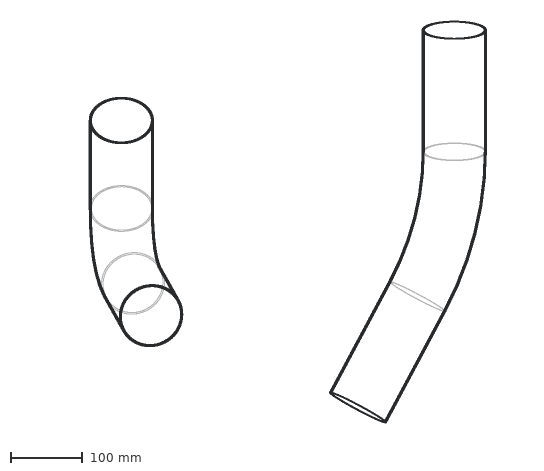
import cadquery as cq
import math

outer_diameter = 89.0
inner_diameter = 84.5

leg_length = 176.5
bend_radius = 410.5
bend_angle = 30.0


def bend_point(angle):
    """Centreline point after turning by angle degrees from the upper leg."""
    turn = math.radians(angle)
    return (bend_radius * (1 - math.cos(turn)), -bend_radius * math.sin(turn))


bend_end_y, bend_end_z = bend_point(bend_angle)
final_turn = math.radians(bend_angle)
lower_end = (
    bend_end_y + leg_length * math.sin(final_turn),
    bend_end_z - leg_length * math.cos(final_turn),
)

centreline = (
    cq.Workplane("YZ")
    .moveTo(0, leg_length)
    .lineTo(0, 0)
    .threePointArc(bend_point(bend_angle / 2), (bend_end_y, bend_end_z))
    .lineTo(*lower_end)
)

result = (
    cq.Workplane("XY", origin=(0, 0, leg_length))
    .circle(outer_diameter / 2)
    .circle(inner_diameter / 2)
    .sweep(centreline)
)